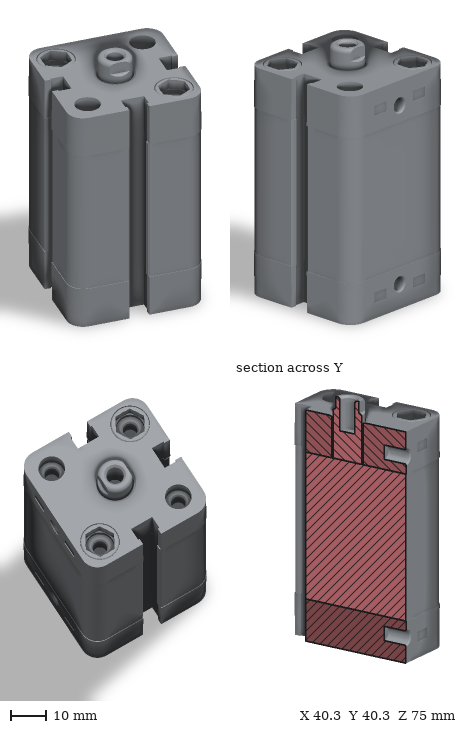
import cadquery as cq
import math

total_height = 75.0
rod_projection = 6.0
cap_height = 12.5
cap_top = total_height - rod_projection
barrel_height = cap_top - 2 * cap_height
barrel_bottom = cap_height
barrel_top = barrel_bottom + barrel_height
middle_height = cap_top / 2

barrel_width = 40.0
barrel_corner_radius = 5.0
cap_width = 40.3
cap_corner_radius = barrel_corner_radius
cap_draft = 0.6

slot_directions = (0, 90, -90)
slot_inner_width = 7.0
slot_lip_bottom = 18.15
slot_floor = 14.3
slot_reach = cap_width
barrel_slot_mouth = 5.5
cap_slot_mouth = 6.0
barrel_slot_fillet = 0.5
slot_edge_chamfer = 0.5

thread_diameter = 4.1
thread_mouth_diameter = 4.95
thread_depth = 5.0

port_from_end = 7.5
port_depth = 7.5
port_clearance = 0.75
label_width = 5.0
label_height = 3.15
label_depth = 0.2
label_offset = 8.0
label_from_end = 6.3

corner_offset = 13.0
corner_hole_diameter = 7.5
corner_hole_depth = 4.5
screw_corners = ((1, 1), (-1, -1))
plain_corners = ((-1, 1), (1, -1))
screw_pocket_diameter = 11.1
screw_diameter = 10.9
screw_top_diameter = 10.35
screw_chamfer = (screw_diameter - screw_top_diameter) / 2
screw_length = 10.5
socket_corner_diameter = 9.3
socket_hex_depth = 3.0
socket_relief_diameter = 8.25
socket_bottom_diameter = 8.0
socket_depth = 4.5

rod_diameter = 10.0
rod_end_fillet = 1.3
rod_flat_width = 8.0
rod_flat_height = 3.5
rod_flat_slope_drop = 0.6
rod_hole_diameter = 4.95
rod_hole_mouth_diameter = 6.2
rod_hole_depth = 10.0
rod_bore_diameter = 10.5
rod_bore_mouth_diameter = 10.9
rod_recess_floor_diameter = 11.4
rod_recess_mouth_diameter = 12.0
rod_recess_depth = 0.15


def rounded_square(width, corner_radius):
    """Closed square outline with rounded corners, centred on the axis."""
    return cq.Sketch().rect(width, width).vertices().fillet(corner_radius)


def cylinder(diameter, bottom, top):
    """Vertical cylinder on the axis between two heights."""
    return cq.Workplane("XY").workplane(offset=bottom).circle(diameter / 2).extrude(top - bottom)


def countersunk_hole(top, depth, diameter, mouth_diameter):
    """Cutter for a vertical blind hole on the axis with a 45 degree mouth."""
    mouth_depth = (mouth_diameter - diameter) / 2
    outline = (
        cq.Workplane("XZ")
        .moveTo(0, top)
        .lineTo(mouth_diameter / 2, top)
        .lineTo(diameter / 2, top - mouth_depth)
        .lineTo(diameter / 2, top - depth)
        .lineTo(0, top - depth)
        .close()
    )
    return outline.revolve(360, (0, 0, 0), (0, 1, 0))


def at_corner(shape, corner):
    """Move a shape from the axis to one of the four corner positions."""
    return shape.translate((corner[0] * corner_offset, corner[1] * corner_offset, 0))


def t_slot(mouth_width, bottom, height, corner_fillet=0):
    """Cutter for a T-slot opening toward +X, with its undercut corners rounded if asked."""
    mouth = cq.Workplane("XY").box(slot_reach, mouth_width, height, centered=(False, True, False))
    inner = cq.Workplane("XY").box(
        slot_lip_bottom - slot_floor, slot_inner_width, height, centered=(False, True, False)
    )
    if corner_fillet > 0:
        inner = inner.edges("|Z").fillet(corner_fillet)
    return mouth.union(inner).translate((slot_floor, 0, bottom))


def make_barrel():
    """Rounded square extrusion between the caps, slotted along its full length."""
    barrel = (
        cq.Workplane("XY")
        .workplane(offset=barrel_bottom)
        .placeSketch(rounded_square(barrel_width, barrel_corner_radius))
        .extrude(barrel_height)
    )
    face = barrel_width / 2
    half_mouth = barrel_slot_mouth / 2
    edge_chamfer = (
        cq.Workplane("XY")
        .workplane(offset=barrel_bottom)
        .polyline([
            (face, half_mouth + slot_edge_chamfer),
            (face, -half_mouth - slot_edge_chamfer),
            (face - slot_edge_chamfer, -half_mouth),
            (face - slot_edge_chamfer, half_mouth),
        ])
        .close()
        .extrude(barrel_height)
    )
    slot = t_slot(barrel_slot_mouth, barrel_bottom, barrel_height, barrel_slot_fillet).union(edge_chamfer)
    for angle in slot_directions:
        barrel = barrel.cut(slot.rotate((0, 0, 0), (0, 0, 1), angle))
    return barrel


def make_plain_cap():
    """Cap above the barrel with the slots, port and label recesses that both caps share."""
    cap = (
        cq.Workplane("XY")
        .workplane(offset=barrel_top)
        .placeSketch(rounded_square(cap_width, cap_corner_radius))
        .extrude(cap_height, taper=cap_draft)
    )
    slot = t_slot(cap_slot_mouth, barrel_top, cap_height)
    for angle in slot_directions:
        cap = cap.cut(slot.rotate((0, 0, 0), (0, 0, 1), angle))

    draft_slope = math.tan(math.radians(cap_draft))
    port_height = cap_top - port_from_end
    port_face = cap_width / 2 - (port_height - barrel_top) * draft_slope
    port = (
        countersunk_hole(0, port_depth, thread_diameter, thread_mouth_diameter)
        .union(cylinder(thread_mouth_diameter, 0, port_clearance))
        .rotate((0, 0, 0), (0, 1, 0), -90)
        .translate((-port_face, 0, port_height))
    )
    cap = cap.cut(port)

    label_z = cap_top - label_from_end
    label_face = cap_width / 2 - (label_z - barrel_top) * draft_slope
    for side in (-1, 1):
        label = cq.Workplane("XY").box(2 * label_depth, label_width, label_height)
        cap = cap.cut(label.translate((-label_face, side * label_offset, label_z)))
    return cap


def make_upper_cap():
    """Plain cap with the rod bore, the screw pockets and two threaded corner holes."""
    cap = make_plain_cap()

    bore_mouth = cap_top - rod_recess_depth
    cap = cap.cut(
        countersunk_hole(bore_mouth, bore_mouth - barrel_top, rod_bore_diameter, rod_bore_mouth_diameter)
    )
    recess = cq.Solid.makeCone(
        rod_recess_floor_diameter / 2,
        rod_recess_mouth_diameter / 2,
        rod_recess_depth,
        cq.Vector(0, 0, bore_mouth),
    )
    cap = cap.cut(cq.Workplane(recess))

    pocket = cylinder(screw_pocket_diameter, cap_top - screw_length, cap_top)
    for corner in screw_corners:
        cap = cap.cut(at_corner(pocket, corner))

    floor = cap_top - corner_hole_depth
    hole = cylinder(corner_hole_diameter, floor, cap_top).union(
        countersunk_hole(floor, thread_depth, thread_diameter, thread_mouth_diameter)
    )
    for corner in plain_corners:
        cap = cap.cut(at_corner(hole, corner))
    return cap


def make_lower_cap():
    """Mirror image of the plain cap, below the barrel."""
    return make_plain_cap().mirror("XY", (0, 0, middle_height))


def make_screw(corner):
    """Cap screw with a hexagon socket and a threaded hole in the socket floor."""
    screw = cylinder(screw_diameter, cap_top - screw_length, cap_top)
    screw = screw.faces(">Z").chamfer(screw_chamfer)
    hexagon = (
        cq.Workplane("XY")
        .workplane(offset=cap_top - socket_hex_depth)
        .polygon(6, socket_corner_diameter)
        .extrude(socket_hex_depth)
    )
    relief = cylinder(socket_relief_diameter, cap_top - socket_hex_depth, cap_top)
    floor = cap_top - socket_depth
    socket_bottom = cylinder(socket_bottom_diameter, floor, cap_top)
    thread = countersunk_hole(floor, thread_depth, thread_diameter, thread_mouth_diameter)
    return at_corner(screw.cut(hexagon).cut(relief).cut(socket_bottom).cut(thread), corner)


def make_rod():
    """Piston rod standing on the barrel and passing through the upper cap."""
    rod = cylinder(rod_diameter, barrel_top, total_height)
    rod = rod.faces(">Z").edges().fillet(rod_end_fillet)

    flat_bottom = total_height - rod_flat_height
    rod_radius = rod_diameter / 2
    flat_cutter = (
        cq.Workplane("XZ")
        .polyline([
            (rod_flat_width / 2, total_height),
            (rod_flat_width / 2, flat_bottom),
            (rod_radius, flat_bottom - rod_flat_slope_drop),
            (rod_radius, total_height),
        ])
        .close()
        .extrude(rod_radius, both=True)
    )
    rod = rod.cut(flat_cutter).cut(flat_cutter.mirror("YZ"))
    return rod.cut(
        countersunk_hole(total_height, rod_hole_depth, rod_hole_diameter, rod_hole_mouth_diameter)
    )


barrel = make_barrel()
upper_cap = make_upper_cap()
lower_cap = make_lower_cap()
rod = make_rod()
screws = [make_screw(corner) for corner in screw_corners]

result = cq.Compound.makeCompound([
    barrel.val(),
    upper_cap.val(),
    lower_cap.val(),
    rod.val(),
    *[screw.val() for screw in screws],
])